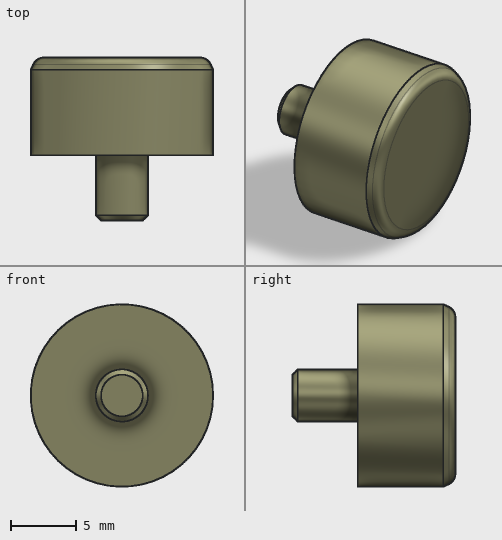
import cadquery as cq
import math

head_diameter = 14
head_length = 7.5
stem_diameter = 4.0
stem_length = 5.0
tip_chamfer = 0.4

rim_cone_length = 0.42
rim_cone_angle = math.radians(25)
rim_round_radius = 0.9

head_radius = head_diameter / 2
stem_radius = stem_diameter / 2

cone_end_radius = head_radius - rim_cone_length * math.tan(rim_cone_angle)
round_center_radius = cone_end_radius - rim_round_radius * math.cos(rim_cone_angle)
round_center_y = head_length - rim_round_radius
cone_end_y = round_center_y + rim_round_radius * math.sin(rim_cone_angle)
cone_start_y = cone_end_y - rim_cone_length

middle_angle = (rim_cone_angle + math.pi / 2) / 2
round_middle = (
    round_center_radius + rim_round_radius * math.cos(middle_angle),
    round_center_y + rim_round_radius * math.sin(middle_angle),
)

head = (
    cq.Workplane("XY")
    .lineTo(head_radius, 0)
    .lineTo(head_radius, cone_start_y)
    .lineTo(cone_end_radius, cone_end_y)
    .threePointArc(round_middle, (round_center_radius, head_length))
    .lineTo(0, head_length)
    .close()
    .revolve(360, (0, 0, 0), (0, 1, 0))
)

stem = cq.Workplane("XZ").circle(stem_radius).extrude(stem_length)
stem = stem.faces("<Y").edges().chamfer(tip_chamfer)

result = head.union(stem)